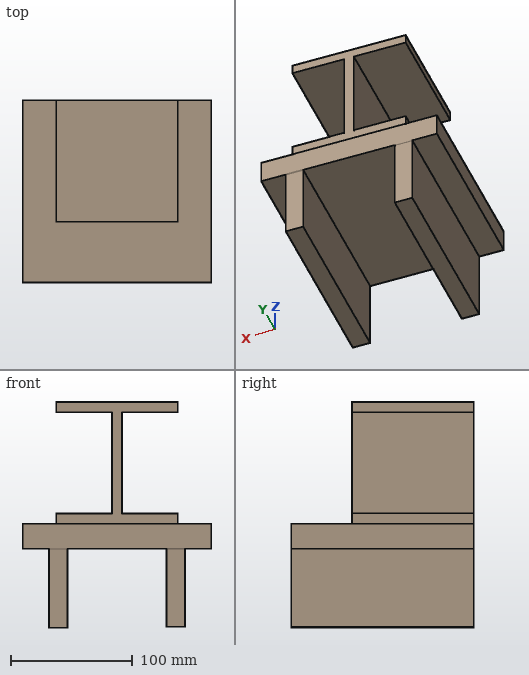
import cadquery as cq

plate_width = 155.1
plate_depth = 150.0
total_height = 185.5
leg_thickness = 15.4
leg_height = 64.7
leg_inset = 21.7
right_leg_raise = 0.7

beam_size = 100.0
flange_thickness = 8.5
web_thickness = 8.5

plate_bottom = leg_height
plate_top = total_height - beam_size
plate_thickness = plate_top - plate_bottom
leg_offset = plate_width / 2 - leg_inset - leg_thickness / 2
back_y = plate_depth / 2


def block(width, depth, height, center_x, bottom_z):
    """Block centred on center_x, with its back face flush with the back of the plate."""
    return cq.Workplane("XY").box(width, depth, height, centered=(True, True, False)).translate(
        (center_x, back_y - depth / 2, bottom_z)
    )


def make_leg(center_x, bottom_z):
    return block(leg_thickness, plate_depth, leg_height, center_x, bottom_z)


def make_table():
    """Plate and legs as one solid, keeping the seams on their flush end faces."""
    table = block(plate_width, plate_depth, plate_thickness, 0, plate_bottom)
    for center_x, bottom_z in ((-leg_offset, 0), (leg_offset, right_leg_raise)):
        table = table.union(make_leg(center_x, bottom_z), clean=False)
    return table


def make_beam():
    """I-beam lying along Y on the plate."""
    web_height = beam_size - 2 * flange_thickness
    web_bottom = plate_top + flange_thickness
    beam = block(web_thickness, beam_size, web_height, 0, web_bottom)
    for flange_bottom in (plate_top, total_height - flange_thickness):
        beam = beam.union(block(beam_size, beam_size, flange_thickness, 0, flange_bottom))
    return beam


table = make_table().solids()
beam = make_beam().solids()

result = cq.Compound.makeCompound([table.val(), beam.val()])